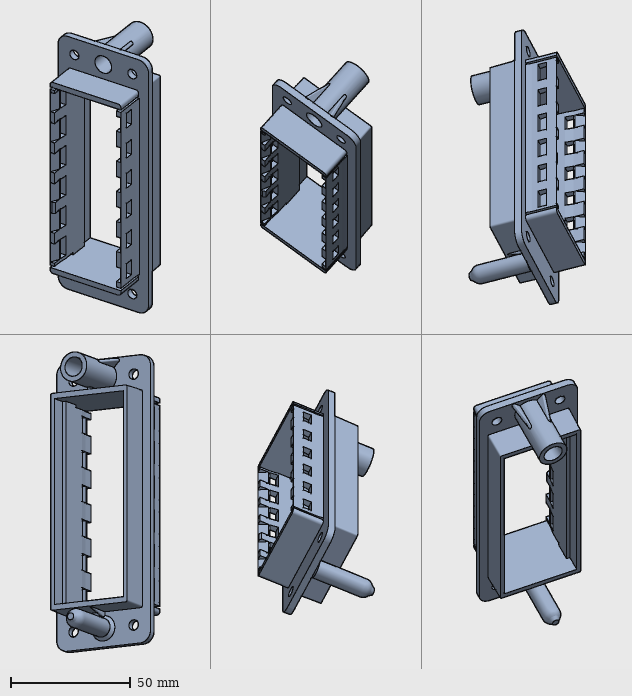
import cadquery as cq
import math

plate_w = 45.0
plate_h = 123.4
plate_t = 3.1
plate_corner_r = 4.9
screw_x = 14.4
screw_z = 53.7
screw_d = 4.5

opening_w = 30.8
opening_h = 88.1
throat_w = 30.0
throat_front_y = -5.5
throat_rear_y = 8.6
rear_opening_w = 33.1
entry_y = -9.4

front_len = 13.8
front_w = 35.3
front_h = 93.3
front_corner_r = 1.5
gap_h = 1.1
side_h = opening_h - 2 * gap_h

root_r = 9.9
root_start = 3.0
root_end = 0.4

window_count = 6
window_pitch = 14.7
window_near = 5.5
window_far = 9.3
left_window_h = 9.4
right_window_h = 7.2
ramp_start = 9.9
ramp_tip = 0.2
bevel_w = 1.1
bevel_depth = 0.7

rear_len = 12.6
rear_w = 37.3
rear_h = 93.3
rear_draft = 1.0
rear_corner_r = 0.9
rear_y = plate_t + rear_len

socket_d = 12.6
socket_bore_d = 8.3
socket_y = 28.8
pin_r = 4.1
pin_root_r = 5.4
pin_root_y = 4.8
pin_shoulder_y = 26.4
pin_nose_r = 3.8
pin_neck_y = 29.9
pin_neck_r = 2.5
pin_tip_y = 31.3
pin_tip_r = 1.5

socket_rib_t = 1.7
centre_rib_t = 1.2
rib_reach = 10.2
lower_rib_z = -49.2
lower_rib_tip_z = -46.2
rib_crest_r = 0.5


def block(width, height, y_from, y_to, x=0.0, z=0.0):
    """Box centred on (x, z) that spans y_from to y_to."""
    middle_y = (y_from + y_to) / 2
    return cq.Workplane("XY").box(width, y_to - y_from, height).translate((x, middle_y, z))


def rod(diameter, y_from, y_to, x, z):
    """Cylinder along Y."""
    face = cq.Workplane("XZ", origin=(x, y_from, z)).circle(diameter / 2)
    return face.extrude(y_from - y_to)


def passage():
    """Full-length passage: straight entry, taper to the throat, wider rear pocket."""
    half = (
        cq.Workplane("XY", origin=(0, 0, -opening_h / 2))
        .moveTo(0, -front_len)
        .lineTo(opening_w / 2, -front_len)
        .lineTo(opening_w / 2, entry_y)
        .lineTo(throat_w / 2, throat_front_y)
        .lineTo(throat_w / 2, throat_rear_y)
        .lineTo(rear_opening_w / 2, throat_rear_y)
        .lineTo(rear_opening_w / 2, rear_y)
        .lineTo(0, rear_y)
        .close()
        .extrude(opening_h)
    )
    return half.union(half.mirror("YZ"))


def plate():
    body = block(plate_w, plate_h, 0, plate_t).edges("|Y").fillet(plate_corner_r)
    for x in (-screw_x, screw_x):
        for z in (-screw_z, screw_z):
            body = body.cut(rod(screw_d, 0, plate_t, x, z))
    return body


def rear_frame():
    outline = cq.Workplane("XZ", origin=(0, plate_t, 0)).rect(rear_w, rear_h)
    return outline.extrude(-rear_len, taper=rear_draft).edges("not(#Y)").fillet(rear_corner_r)


def front_frame():
    body = block(front_w, front_h, -front_len, 0).edges("|Y").fillet(front_corner_r)
    for side in (-1, 1):
        gap_z = side * (opening_h - gap_h) / 2
        body = body.cut(block(front_w, gap_h, -front_len, 0, z=gap_z))
    return body


def flared_root():
    """Concave flare where the +X side wall meets the plate."""
    wall_x = front_w / 2
    rise = root_start - root_end
    middle_rise = rise / 2
    foot_x = wall_x + root_r - math.sqrt(root_r**2 - rise**2)
    middle_x = wall_x + root_r - math.sqrt(root_r**2 - middle_rise**2)
    profile = (
        cq.Workplane("XY", origin=(0, 0, -side_h / 2))
        .moveTo(opening_w / 2, -root_start)
        .lineTo(wall_x, -root_start)
        .threePointArc((middle_x, middle_rise - root_start), (foot_x, -root_end))
        .lineTo(foot_x, 0)
        .lineTo(opening_w / 2, 0)
        .close()
    )
    return profile.extrude(side_h)


def side_wall_cuts(window_h):
    """Windows and lead-in ramps of the +X side wall."""
    inner_x = throat_w / 2
    wall_x = front_w / 2
    ramp = (
        cq.Workplane("XY", origin=(0, 0, -window_h / 2))
        .moveTo(opening_w / 2, -ramp_start)
        .lineTo(wall_x - ramp_tip, -front_len)
        .lineTo(opening_w / 2, -front_len)
        .close()
        .extrude(window_h)
    )
    window = block(wall_x - inner_x, window_h, -window_far, -window_near, x=(wall_x + inner_x) / 2)
    station = window.union(ramp)
    cuts = cq.Workplane("XY")
    for i in range(window_count):
        z = (i - (window_count - 1) / 2) * window_pitch
        cuts = cuts.add(station.translate((0, 0, z)))
    return cuts.combine()


def tooth_bevel():
    """Bevel on the front inner edge of the -X tooth one pitch below centre."""
    tooth_h = window_pitch - left_window_h
    profile = (
        cq.Workplane("XY", origin=(0, 0, -window_pitch - tooth_h / 2))
        .moveTo(-opening_w / 2, -front_len)
        .lineTo(-opening_w / 2 - bevel_w, -front_len)
        .lineTo(-opening_w / 2, -front_len + bevel_depth)
        .close()
    )
    return profile.extrude(tooth_h)


def guide_socket():
    body = rod(socket_d, plate_t, socket_y, 0, screw_z)
    for angle in (45, 135):
        rib = (
            cq.Workplane("XY", origin=(0, 0, -socket_rib_t / 2))
            .moveTo(0, plate_t)
            .lineTo(rib_reach, plate_t)
            .lineTo(socket_d / 2, rear_y)
            .lineTo(0, rear_y)
            .close()
            .extrude(socket_rib_t)
            .faces(">X")
            .edges("not(|Z)")
            .fillet(rib_crest_r)
            .rotate((0, 0, 0), (0, 1, 0), -angle)
            .translate((0, 0, screw_z))
        )
        body = body.union(rib)
    web_bottom = opening_h / 2
    web = block(centre_rib_t, screw_z - web_bottom, plate_t, rear_y, z=(screw_z + web_bottom) / 2)
    return body.union(web)


def guide_pin():
    nose_y = (pin_shoulder_y + pin_neck_y) / 2
    profile = (
        cq.Workplane("XY")
        .moveTo(0, plate_t)
        .lineTo(pin_root_r, plate_t)
        .lineTo(pin_r, pin_root_y)
        .lineTo(pin_r, pin_shoulder_y)
        .threePointArc((pin_nose_r, nose_y), (pin_neck_r, pin_neck_y))
        .lineTo(pin_tip_r, pin_tip_y)
        .lineTo(0, pin_tip_y)
        .close()
    )
    return profile.revolve(360, (0, 0), (0, 1)).translate((0, 0, -screw_z))


def lower_rib():
    """Triangular rib with a rounded crest under the rear frame."""
    profile = (
        cq.Workplane("YZ", origin=(-centre_rib_t / 2, 0, 0))
        .moveTo(plate_t, -opening_h / 2)
        .lineTo(plate_t, lower_rib_z)
        .lineTo(rear_y, lower_rib_tip_z)
        .lineTo(rear_y, -opening_h / 2)
        .close()
    )
    rib = profile.extrude(centre_rib_t)
    return rib.faces("<Z").edges("not(|X)").fillet(rib_crest_r)


right_cuts = side_wall_cuts(right_window_h)
left_cuts = side_wall_cuts(left_window_h).mirror("YZ")
root = flared_root()

body = plate().union(rear_frame()).union(front_frame())
body = body.union(root).union(root.mirror("YZ"))
body = body.union(guide_socket()).union(guide_pin()).union(lower_rib())

body = body.cut(passage())
body = body.cut(rod(socket_bore_d, 0, socket_y, 0, screw_z))
result = body.cut(right_cuts).cut(left_cuts).cut(tooth_bevel())